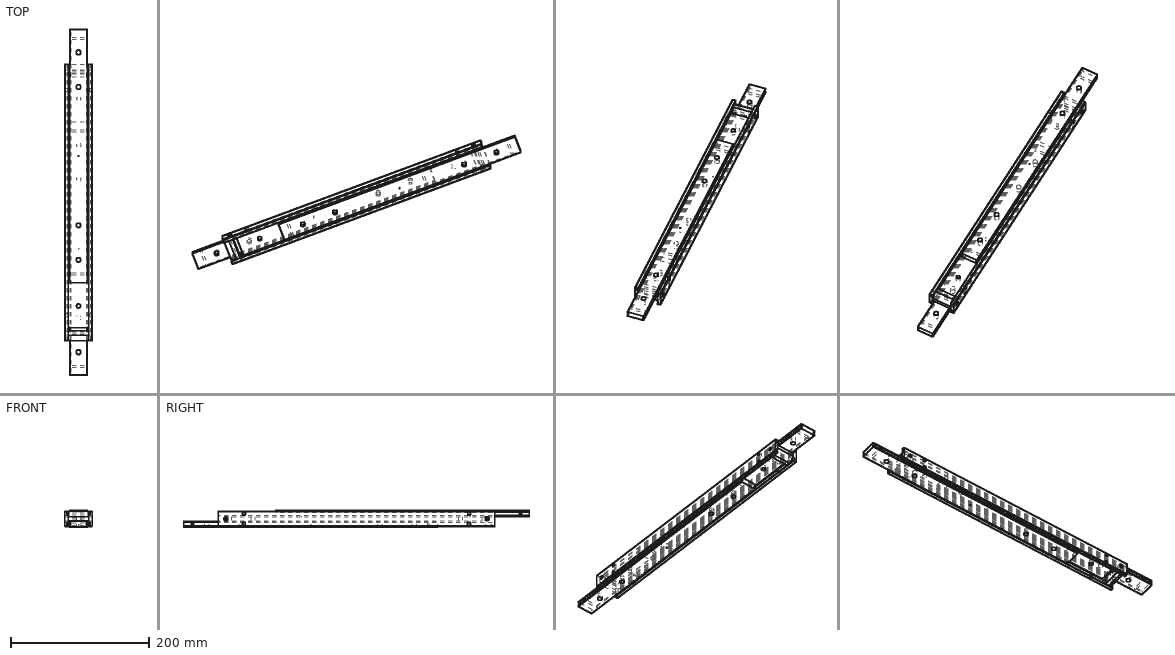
import cadquery as cq


overall_length = 500.0
housing_length = 400.0
housing_width = 40.0
height = 24.0
housing_height = 22.5

channel_width = 29.5
web_thickness = 5.5
web_length = 362.5
outer_chamfer = 1.0
web_hole_diameter = 6.0
web_hole_y = 150.0

groove_radius = 2.75
groove_z = 7.5
groove_x = 14.0
ball_hole_diameter = 4.5
ball_hole_y = 163.0

rail_length = 366.5
rail_width = 25.0
rail_inner_z = 3.25
rail_hole_diameter = 6.5
rail_hole_offsets = (-150.0, -100.0, 100.0, 150.0)
center_hole_diameter = 1.0
cross_hole_diameter = 3.0
cross_hole_inset = 13.0

stop_length = 14.0
stop_top_z = 11.0
stop_bevel = 8.0
screw_y = 189.0
wall_screw_hole_diameter = 5.5
stop_screw_hole_diameter = 3.0

wall_x = channel_width / 2
rail_thickness = height / 2 - rail_inner_z
cross_hole_offset = rail_length / 2 - cross_hole_inset
rail_center_y = (overall_length - rail_length) / 2
rail_center_z = (height / 2 + rail_inner_z) / 2


def along_y(radius, length, x, z):
    """Cylinder parallel to Y and centred on Y = 0."""
    return cq.Workplane("XZ").center(x, z).circle(radius).extrude(length / 2, both=True)


def along_x(diameter, y, z):
    """Cylinder parallel to X, long enough to cross the whole slide."""
    return cq.Workplane("YZ").center(y, z).circle(diameter / 2).extrude(housing_width, both=True)


def along_z(diameter, y):
    """Cylinder parallel to Z, long enough to cross the whole slide."""
    return cq.Workplane("XY").center(0, y).circle(diameter / 2).extrude(height, both=True)


def turned_over(shape):
    """The same shape turned half a turn about the X axis."""
    return shape.rotate((0, 0, 0), (1, 0, 0), 180)


def ball_grooves(length):
    """The four round grooves, two on each side of the slide."""
    grooves = cq.Workplane("XY")
    for x in (-groove_x, groove_x):
        for z in (-groove_z, groove_z):
            grooves = grooves.add(along_y(groove_radius, length, x, z))
    return grooves.combine()


def make_housing():
    """Two grooved walls joined by a web that stops short of both ends."""
    body = cq.Workplane("XY").box(housing_width, housing_length, housing_height)
    body = body.edges("|Y").chamfer(outer_chamfer)
    body = body.cut(cq.Workplane("XY").box(channel_width, housing_length, height))
    body = body.union(cq.Workplane("XY").box(channel_width, web_length, web_thickness))
    body = body.cut(ball_grooves(housing_length))
    for end in (-1, 1):
        body = body.cut(along_z(web_hole_diameter, end * web_hole_y))
        body = body.cut(along_x(wall_screw_hole_diameter, end * screw_y, 0))
        for z in (-groove_z, groove_z):
            body = body.cut(along_x(ball_hole_diameter, end * ball_hole_y, z))
    return body


def make_rail():
    """Upper rail, with a ball groove along each side."""
    rail = cq.Workplane("XY").box(rail_width, rail_length, rail_thickness)
    rail = rail.translate((0, 0, rail_center_z)).cut(ball_grooves(rail_length))
    for y in rail_hole_offsets:
        rail = rail.cut(along_z(rail_hole_diameter, y))
    rail = rail.cut(along_z(center_hole_diameter, 0))
    for end in (-1, 1):
        rail = rail.cut(along_x(cross_hole_diameter, end * cross_hole_offset, groove_z))
    return rail.translate((0, rail_center_y, 0))


def make_end_stop():
    """Bevelled block that closes the upper channel at the -Y end."""
    front = -housing_length / 2
    back = front + stop_length
    bottom = -web_thickness / 2
    stop = (
        cq.Workplane("YZ")
        .moveTo(front, bottom)
        .lineTo(back, bottom)
        .lineTo(back, stop_top_z)
        .lineTo(front + stop_bevel, stop_top_z)
        .lineTo(front, stop_top_z - stop_bevel)
        .close()
        .extrude(wall_x, both=True)
    )
    return stop.cut(along_x(stop_screw_hole_diameter, -screw_y, 0))


housing = make_housing()
top_rail = make_rail()
bottom_rail = turned_over(top_rail)
front_stop = make_end_stop()
rear_stop = turned_over(front_stop)

result = cq.Compound.makeCompound(
    [housing.val(), top_rail.val(), bottom_rail.val(), front_stop.val(), rear_stop.val()]
)